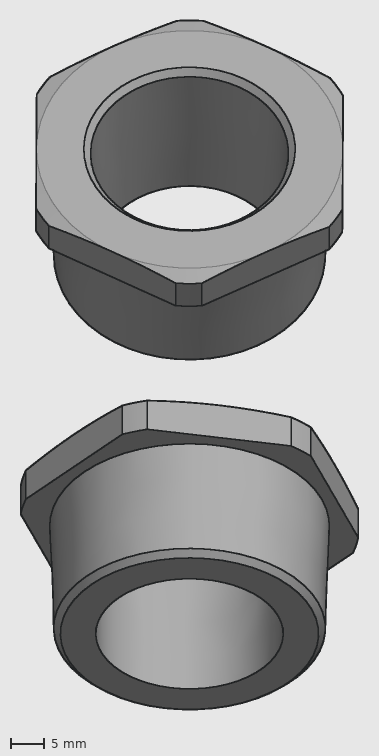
import cadquery as cq
import math

total_height = 26.0
hex_height = 6.0
across_flats = 46.0
corner_diameter = 51.0
hex_chamfer_angle = 15.0
thread_taper = 1 / 16

body_top_diameter = 41.95
body_height = total_height - hex_height
body_chamfer = 1.0

bore_mouth_diameter = 31.7
bore_chamfer = 1.0


def revolve_profile(points):
    """Revolve a closed (radius, height) outline around the Z axis."""
    return cq.Workplane("XZ").polyline(points).close().revolve(360, (0, 0, 0), (0, 1, 0))


def make_hex_head():
    """Hexagon with its corners rounded and its top edge chamfered by a cone."""
    vertex_diameter = across_flats / math.cos(math.radians(30))
    hexagon = (
        cq.Workplane("XY", origin=(0, 0, body_height))
        .polygon(6, vertex_diameter)
        .extrude(hex_height)
        .rotate((0, 0, 0), (0, 0, 1), 30)
    )
    top_radius = across_flats / 2
    corner_radius = corner_diameter / 2
    chamfer_drop = (corner_radius - top_radius) * math.tan(math.radians(hex_chamfer_angle))
    envelope = revolve_profile([
        (0, body_height),
        (corner_radius, body_height),
        (corner_radius, total_height - chamfer_drop),
        (top_radius, total_height),
        (0, total_height),
    ])
    return hexagon.intersect(envelope)


def make_body():
    """Tapered plug with a chamfered lower end."""
    top_radius = body_top_diameter / 2
    lower_radius = top_radius - (body_height - body_chamfer) * thread_taper / 2
    return revolve_profile([
        (0, 0),
        (lower_radius - body_chamfer, 0),
        (lower_radius, body_chamfer),
        (top_radius, body_height),
        (0, body_height),
    ])


def make_bore():
    """Through bore narrowing downward, with a chamfered mouth at the top."""
    mouth_radius = bore_mouth_diameter / 2
    upper_radius = mouth_radius - bore_chamfer
    upper_height = total_height - bore_chamfer
    lower_radius = upper_radius - upper_height * thread_taper / 2
    return revolve_profile([
        (0, 0),
        (lower_radius, 0),
        (upper_radius, upper_height),
        (mouth_radius, total_height),
        (0, total_height),
    ])


result = make_hex_head().union(make_body()).cut(make_bore())